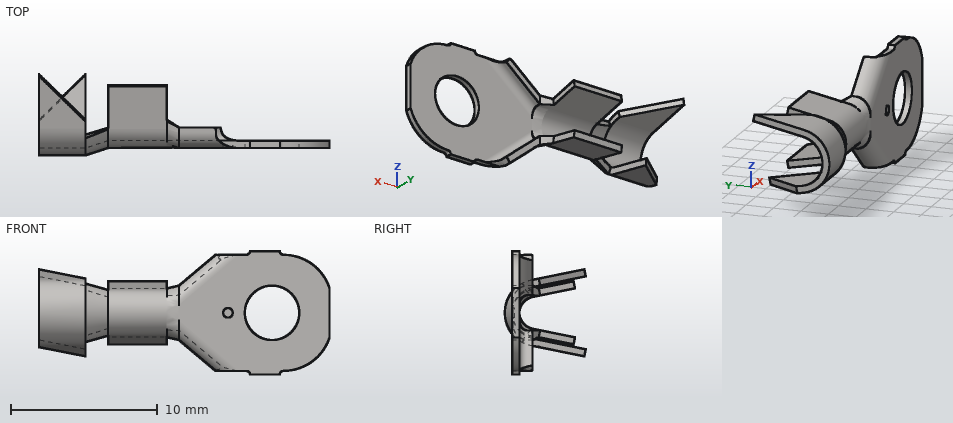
import cadquery as cq
import math


SHEET = 0.507

INSULATION_END = 3.19
WIRE_START = 4.73
WIRE_END = 8.74
NECK_END = 9.56
TERMINAL_LENGTH = 19.84

ARM_SPLAY = math.radians(11.5)
INSULATION_RADIUS = 2.29
INSULATION_CENTRE_Y = INSULATION_RADIUS - SHEET
WIRE_RADIUS = 1.60
WIRE_CENTRE_Y = WIRE_RADIUS
INSULATION_WING_LONG = 3.68
INSULATION_WING_SHORT = 0.50
WIRE_WING = 2.98

FULL_ARC = math.pi / 2 - ARM_SPLAY
TRIMMED_ARC = math.radians(60.9)

NECK_ARM = 0.55
NECK_FLOOR_HALF_START = 0.82
NECK_FLOOR_HALF_END = 0.52

FLARE_ANGLE = math.radians(40)
OUTER_BEND = 1.03
INNER_BEND = OUTER_BEND - SHEET
WALL_TOP = 1.407
WALL_CORNER_RADIUS = 0.15
SELECTION_MARGIN = 0.01

RING_HALF_WIDTH = 3.97
RING_FLAT_HALF = 1.69
HOLE_X = 15.91
HOLE_DIAMETER = 3.70
DIMPLE_X = 12.90
DIMPLE_DIAMETER = 0.66
DIMPLE_DEPTH = 0.17

TAB_START = 14.40
TAB_END = 16.44
TAB_HALF_WIDTH = 4.215

ARC_MIDDLE = math.sqrt(0.5)


def polar(centre_y, radius, angle):
    """Point (Y, Z) on a barrel circle, with the angle measured from -Y toward +Z."""
    return (centre_y - radius * math.cos(angle), radius * math.sin(angle))


def mirrored(point):
    return (point[0], -point[1])


def section_plane(x):
    """Plane across the terminal, with local axes Y and Z."""
    return cq.Plane(origin=(x, 0, 0), xDir=(0, 1, 0), normal=(1, 0, 0))


def arc_band(sketch, centre_y, radius, half_angle):
    """Sheet-thick arc, open toward +Y and trimmed radially at both ends."""
    inner = radius - SHEET
    outer_end = polar(centre_y, radius, half_angle)
    inner_end = polar(centre_y, inner, half_angle)
    return (
        sketch.moveTo(*mirrored(outer_end))
        .threePointArc((centre_y - radius, 0), outer_end)
        .lineTo(*inner_end)
        .threePointArc((centre_y - inner, 0), mirrored(inner_end))
        .close()
    )


def barrel_arc(x_start, x_end, centre_y, radius):
    sketch = cq.Workplane(section_plane(x_start))
    return arc_band(sketch, centre_y, radius, FULL_ARC).extrude(x_end - x_start)


def wing(x_start, x_end, centre_y, radius, length_start, length_end):
    """Flat +Z arm that leaves the barrel arc tangentially."""
    root_y, root_z = polar(centre_y, radius, FULL_ARC)
    outward = (0, -math.sin(ARM_SPLAY), math.cos(ARM_SPLAY))
    plane = cq.Plane(origin=(0, root_y, root_z), xDir=(1, 0, 0), normal=outward)
    outline = [(x_start, 0), (x_end, 0), (x_end, length_end), (x_start, length_start)]
    return cq.Workplane(plane).polyline(outline).close().extrude(-SHEET)


def insulation_barrel():
    place = (0, INSULATION_END, INSULATION_CENTRE_Y, INSULATION_RADIUS)
    upper = wing(*place, INSULATION_WING_LONG, INSULATION_WING_SHORT)
    lower = wing(*place, INSULATION_WING_SHORT, INSULATION_WING_LONG).mirror("XY")
    return barrel_arc(*place).union(upper).union(lower)


def wire_barrel():
    place = (WIRE_START, WIRE_END, WIRE_CENTRE_Y, WIRE_RADIUS)
    arm = wing(*place, WIRE_WING, WIRE_WING)
    return barrel_arc(*place).union(arm).union(arm.mirror("XY"))


def barrel_transition():
    sketch = cq.Workplane(section_plane(INSULATION_END))
    sketch = arc_band(sketch, INSULATION_CENTRE_Y, INSULATION_RADIUS, TRIMMED_ARC)
    sketch = sketch.workplane(offset=WIRE_START - INSULATION_END)
    sketch = arc_band(sketch, WIRE_CENTRE_Y, WIRE_RADIUS, FULL_ARC)
    return sketch.loft(ruled=True)


def neck_section(sketch, outer, inner):
    """Closed trough section; each side is floor middle, floor end, bend middle,
    bend end and arm tip, running toward +Z."""
    floor_o, floor_end_o, bend_o, bend_end_o, tip_o = outer
    floor_i, floor_end_i, bend_i, bend_end_i, tip_i = inner

    def floor_edge(path, middle, end):
        if middle[0] == end[0]:
            return path.lineTo(*end)
        return path.threePointArc(middle, end)

    path = sketch.moveTo(*mirrored(tip_o)).lineTo(*mirrored(bend_end_o))
    path = path.threePointArc(mirrored(bend_o), mirrored(floor_end_o))
    path = floor_edge(path, floor_o, floor_end_o)
    path = path.threePointArc(bend_o, bend_end_o).lineTo(*tip_o)
    path = path.lineTo(*tip_i).lineTo(*bend_end_i)
    path = path.threePointArc(bend_i, floor_end_i)
    path = floor_edge(path, floor_i, mirrored(floor_end_i))
    path = path.threePointArc(mirrored(bend_i), mirrored(bend_end_i))
    return path.lineTo(*mirrored(tip_i)).close()


def wire_side(radius):
    """Neck section points at the wire barrel, for its outer or inner face."""
    floor_angle = math.asin(NECK_FLOOR_HALF_START / WIRE_RADIUS)
    bend_end = polar(WIRE_CENTRE_Y, radius, FULL_ARC)
    tip = (
        bend_end[0] + NECK_ARM * math.cos(ARM_SPLAY),
        bend_end[1] + NECK_ARM * math.sin(ARM_SPLAY),
    )
    return [
        polar(WIRE_CENTRE_Y, radius, 0),
        polar(WIRE_CENTRE_Y, radius, floor_angle),
        polar(WIRE_CENTRE_Y, radius, (floor_angle + FULL_ARC) / 2),
        bend_end,
        tip,
    ]


def flare_side(floor_y, radius):
    """Neck section points at the flare, where the slanted bends are cut across X."""
    stretch = 1 / math.cos(FLARE_ANGLE)
    wall_z = NECK_FLOOR_HALF_END + radius * stretch
    return [
        (floor_y, 0),
        (floor_y, NECK_FLOOR_HALF_END),
        (floor_y + radius * (1 - ARC_MIDDLE), NECK_FLOOR_HALF_END + radius * stretch * ARC_MIDDLE),
        (OUTER_BEND, wall_z),
        (WALL_TOP, wall_z),
    ]


def neck():
    sketch = cq.Workplane(section_plane(WIRE_END))
    sketch = neck_section(sketch, wire_side(WIRE_RADIUS), wire_side(WIRE_RADIUS - SHEET))
    sketch = sketch.workplane(offset=NECK_END - WIRE_END)
    sketch = neck_section(sketch, flare_side(0, OUTER_BEND), flare_side(SHEET, INNER_BEND))
    return sketch.loft(ruled=True)


def wall_end_relief():
    """Twisted cutter that leaves the wall end square to Z at the floor and turns it
    square to the slanted wall at the top."""
    wall_root_z = NECK_FLOOR_HALF_END + OUTER_BEND / math.cos(FLARE_ANGLE)
    corner_x = NECK_END + (RING_HALF_WIDTH - wall_root_z) / math.tan(FLARE_ANGLE)
    reach = OUTER_BEND / math.sin(FLARE_ANGLE)
    drop = reach / math.tan(FLARE_ANGLE)

    def outline(sketch, far_z):
        points = [
            (corner_x, RING_HALF_WIDTH),
            (corner_x + reach, far_z),
            (corner_x + reach, TAB_HALF_WIDTH),
            (corner_x, TAB_HALF_WIDTH),
        ]
        return sketch.polyline(points).close()

    sketch = outline(cq.Workplane("XZ", origin=(0, SHEET, 0)), RING_HALF_WIDTH)
    sketch = sketch.workplane(offset=SHEET - WALL_TOP)
    return outline(sketch, RING_HALF_WIDTH - drop).loft(ruled=True)


def flare_wall():
    """Curled +Z wall along the slanted fold, trimmed square at the neck and ring."""
    plane = cq.Plane(
        origin=(NECK_END, 0, NECK_FLOOR_HALF_END),
        xDir=(-math.sin(FLARE_ANGLE), 0, math.cos(FLARE_ANGLE)),
        normal=(-math.cos(FLARE_ANGLE), 0, -math.sin(FLARE_ANGLE)),
    )
    wall = (
        cq.Workplane(plane)
        .moveTo(0, 0)
        .threePointArc(
            (OUTER_BEND * ARC_MIDDLE, OUTER_BEND * (1 - ARC_MIDDLE)),
            (OUTER_BEND, OUTER_BEND),
        )
        .lineTo(OUTER_BEND, WALL_TOP)
        .lineTo(INNER_BEND, WALL_TOP)
        .lineTo(INNER_BEND, OUTER_BEND)
        .threePointArc(
            (INNER_BEND * ARC_MIDDLE, OUTER_BEND - INNER_BEND * ARC_MIDDLE),
            (0, SHEET),
        )
        .close()
        .extrude(2 * TERMINAL_LENGTH, both=True)
    )
    trim = cq.Workplane("XY").box(
        TERMINAL_LENGTH, 2 * WALL_TOP, RING_HALF_WIDTH, centered=(False, True, False)
    )
    wall = wall.intersect(trim.translate((NECK_END, 0, 0)))
    top_corner = cq.selectors.BoxSelector(
        (NECK_END, WALL_TOP - SELECTION_MARGIN, RING_HALF_WIDTH - SELECTION_MARGIN),
        (TERMINAL_LENGTH, WALL_TOP + SELECTION_MARGIN, RING_HALF_WIDTH + SELECTION_MARGIN),
    )
    return wall.edges(top_corner).fillet(WALL_CORNER_RADIUS).cut(wall_end_relief())


def ring_arc_middle(start_x):
    """Middle of the ring's end arc, which leaves the straight side tangentially."""
    run = TERMINAL_LENGTH - start_x
    drop = RING_HALF_WIDTH - RING_FLAT_HALF
    radius = (run**2 + drop**2) / (2 * drop)
    half_sweep = math.asin(run / radius) / 2
    return (
        start_x + radius * math.sin(half_sweep),
        RING_HALF_WIDTH - radius * (1 - math.cos(half_sweep)),
    )


def ring_plate():
    """Flat floor of the tongue, the ring and half of each tab, for Z >= 0."""
    step = TAB_HALF_WIDTH - RING_HALF_WIDTH
    fillet_mid = step * (1 - ARC_MIDDLE)
    fold_end_x = NECK_END + (RING_HALF_WIDTH - NECK_FLOOR_HALF_END) / math.tan(FLARE_ANGLE)
    outline = (
        cq.Workplane("XZ")
        .moveTo(NECK_END, 0)
        .lineTo(NECK_END, NECK_FLOOR_HALF_END)
        .lineTo(fold_end_x, RING_HALF_WIDTH)
        .lineTo(TAB_START - step, RING_HALF_WIDTH)
        .threePointArc(
            (TAB_START - fillet_mid, RING_HALF_WIDTH + fillet_mid),
            (TAB_START, TAB_HALF_WIDTH),
        )
        .lineTo(TAB_END, TAB_HALF_WIDTH)
        .threePointArc(
            (TAB_END + fillet_mid, RING_HALF_WIDTH + fillet_mid),
            (TAB_END + step, RING_HALF_WIDTH),
        )
        .threePointArc(ring_arc_middle(TAB_END + step), (TERMINAL_LENGTH, RING_FLAT_HALF))
        .lineTo(TERMINAL_LENGTH, 0)
        .close()
    )
    return outline.extrude(-SHEET)


def disc_cutter(x, diameter, depth):
    """Cylinder that cuts into the underside of the ring."""
    return cq.Workplane("XZ").center(x, 0).circle(diameter / 2).extrude(-depth)


def tongue():
    half = ring_plate().union(flare_wall())
    whole = half.union(half.mirror("XY"))
    whole = whole.cut(disc_cutter(HOLE_X, HOLE_DIAMETER, SHEET))
    return whole.cut(disc_cutter(DIMPLE_X, DIMPLE_DIAMETER, DIMPLE_DEPTH))


result = (
    insulation_barrel()
    .union(barrel_transition())
    .union(wire_barrel())
    .union(neck())
    .union(tongue())
)